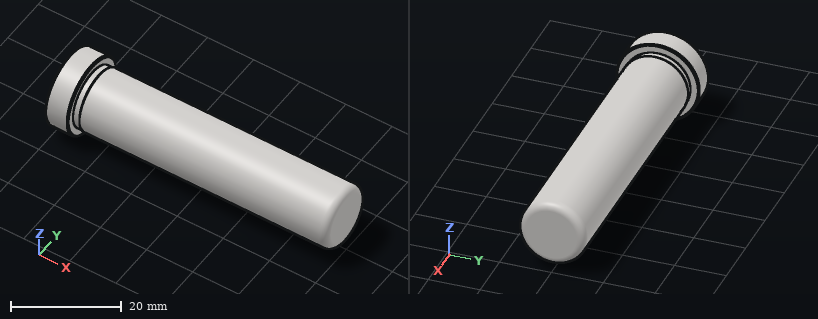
import cadquery as cq

total_length = 60.0
head_diameter = 16.0
head_length = 5.0
head_chamfer = 0.25
shank_diameter = 12.95
tip_radius = 1.5

groove_length = 1.5
groove_depth = 0.15

head_radius = head_diameter / 2
shank_radius = shank_diameter / 2
groove_radius = shank_radius - groove_depth
groove_end = head_length + groove_length
groove_slope_start = groove_end - groove_depth


def make_head():
    head = cq.Workplane("YZ").circle(head_radius).extrude(head_length)
    return head.faces("<X or >X").edges().chamfer(head_chamfer)


def make_shank():
    """Shank with a rounded tip and a groove that rises to it at 45 degrees."""
    profile = (
        cq.Workplane("XY")
        .lineTo(0, groove_radius)
        .lineTo(groove_slope_start, groove_radius)
        .lineTo(groove_end, shank_radius)
        .lineTo(total_length, shank_radius)
        .lineTo(total_length, 0)
        .close()
    )
    shank = profile.revolve(360, (0, 0, 0), (1, 0, 0))
    return shank.faces(">X").edges().fillet(tip_radius)


result = make_head().union(make_shank())